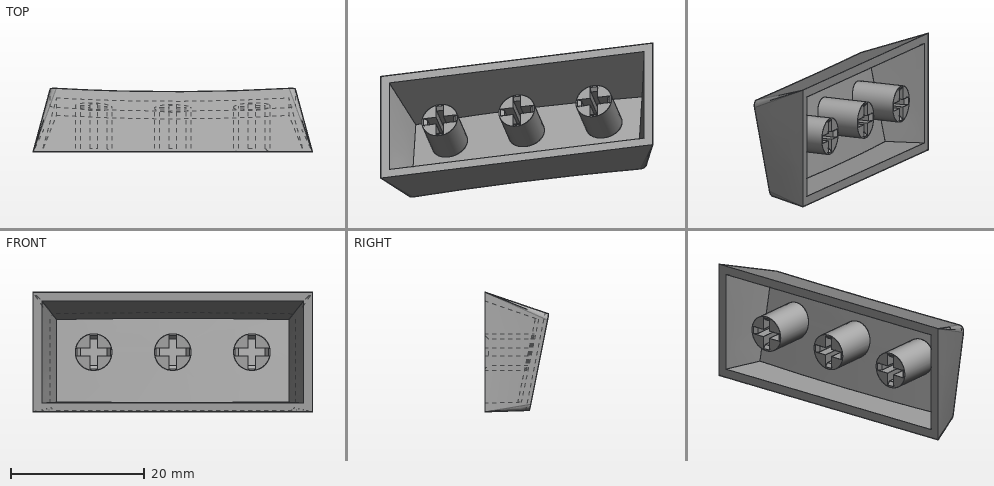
import cadquery as cq
import math

width = 42.0
height = 18.0
wall = 1.35
top_width = 36.88
top_low_y, top_low_z = 6.7, 0.2
top_high_y, top_high_z = 9.6, 14.75
top_corner_radius = 0.95
base_corner_radius = 0.02
dish_depth = 0.6

floor_width = 34.85
floor_low_y, floor_low_z = 5.55, 1.45
floor_high_y, floor_high_z = 8.15, 13.85

stem_count = 3
stem_spacing = 11.9
stem_diameter = 5.5
stem_z = 9.0
cross_length = 4.0
cross_mouth_length = 5.0
vertical_arm_width = 1.15
horizontal_arm_width = 1.18

dish_radius = ((top_width / 2) ** 2 + dish_depth**2) / (2 * dish_depth)
base_center = (0, 0, height / 2)


def rectangle_wire(plane, size_x, size_y, radius=0):
    """Closed rectangle centred on a plane, optionally with rounded corners."""
    wire = cq.Workplane(plane).rect(size_x, size_y).val()
    if radius:
        wire = wire.fillet2D(radius, wire.Vertices())
    return wire


def dished_block(base_size, base_radius, end_width, end_radius, low, high):
    """Tapered block from the rim to a tilted end, hollowed by a shallow cylinder.

    low and high are the (Y, Z) positions of the two long edges of the end.
    """
    rise_y = high[0] - low[0]
    rise_z = high[1] - low[1]
    middle = (0, (low[0] + high[0]) / 2, (low[1] + high[1]) / 2)
    base_plane = cq.Plane(base_center, xDir=(1, 0, 0), normal=(0, 1, 0))
    end_plane = cq.Plane(middle, xDir=(1, 0, 0), normal=(0, rise_z, -rise_y))
    base = rectangle_wire(base_plane, *base_size, base_radius)
    end = rectangle_wire(end_plane, end_width, math.hypot(rise_y, rise_z), end_radius)
    block = cq.Workplane(cq.Solid.makeLoft([base, end], True))

    dish_plane = cq.Plane(middle, xDir=(1, 0, 0), normal=(0, rise_y, rise_z))
    dish = (
        cq.Workplane(dish_plane)
        .center(0, dish_radius - dish_depth)
        .circle(dish_radius)
        .extrude(height, both=True)
    )
    return block.cut(dish)


def socket_arm(arm_length, arm_width, turn):
    """Slot along X with 45-degree lead-ins at both ends, turned about the stem axis."""
    lead_in = (cross_mouth_length - arm_length) / 2
    profile = [
        (-cross_mouth_length / 2, 0),
        (cross_mouth_length / 2, 0),
        (arm_length / 2, lead_in),
        (arm_length / 2, top_high_y),
        (-arm_length / 2, top_high_y),
        (-arm_length / 2, lead_in),
    ]
    arm = cq.Workplane("XY").polyline(profile).close().extrude(arm_width / 2, both=True)
    return arm.rotate((0, 0, 0), (0, 1, 0), turn)


outer = dished_block(
    (width, height), base_corner_radius, top_width, top_corner_radius,
    (top_low_y, top_low_z), (top_high_y, top_high_z),
)
cavity = dished_block(
    (width - 2 * wall, height - 2 * wall), 0, floor_width, 0,
    (floor_low_y, floor_low_z), (floor_high_y, floor_high_z),
)

stem = cq.Workplane("XZ").circle(stem_diameter / 2).extrude(-top_high_y)
stem = stem.cut(socket_arm(cross_length, horizontal_arm_width, 0))
stem = stem.cut(socket_arm(cross_length, vertical_arm_width, 90))

result = outer.cut(cavity)
for index in range(stem_count):
    stem_x = (index - (stem_count - 1) / 2) * stem_spacing
    result = result.union(stem.translate((stem_x, 0, stem_z)).intersect(cavity))